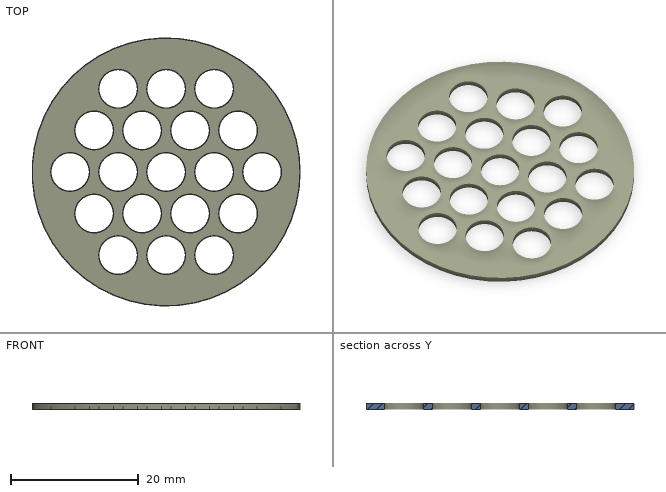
import cadquery as cq
import math

disc_diameter = 42.0
thickness = 1.0
hole_diameter = 6.0
hole_pitch = 7.5
rings = 2

row_spacing = hole_pitch * math.sqrt(3) / 2


def hexagonal_centres():
    """Hole centres on a triangular grid bounded by a hexagon."""
    centres = []
    for row in range(-rings, rings + 1):
        holes_in_row = 2 * rings + 1 - abs(row)
        row_start = -hole_pitch * (holes_in_row - 1) / 2
        for index in range(holes_in_row):
            centres.append((row_start + index * hole_pitch, row * row_spacing))
    return centres


disc = cq.Workplane("XY").circle(disc_diameter / 2).extrude(thickness)

result = disc.faces(">Z").workplane().pushPoints(hexagonal_centres()).hole(hole_diameter)